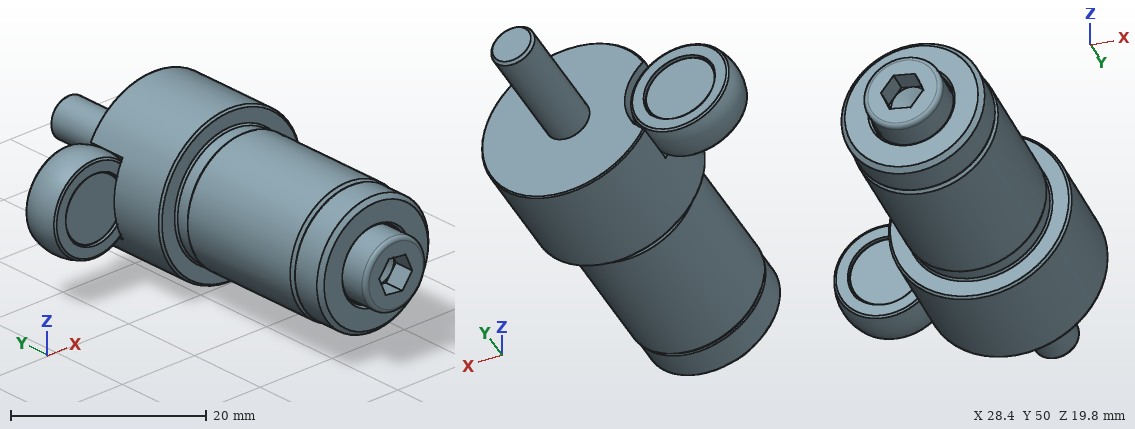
import cadquery as cq
import math


screw_length = 50
shank_radius = 2.5
screw_head_radius = 4.25
screw_head_height = 5
screw_head_fillet = 0.5
screw_tip_chamfer = 0.3
hex_across_flats = 4
hex_depth = 2.5
hex_turn = 6.5
drill_point_angle = 118

cap_front_y = 3
cap_length = 4
cap_radius = 7.75
cap_face_radius = 7.2
cap_front_chamfer = 0.5
cap_rear_chamfer = 0.15
counterbore_radius = 4.45
counterbore_chamfer = 0.25
cap_rear_y = cap_front_y + cap_length

housing_front_y = cap_rear_y
barrel_radius = 7.9
barrel_chamfer = 0.4
groove_radius = 7.7
groove_taper = 0.25
groove_length = 2
flange_front_y = 25
flange_length = 12
flange_radius = 9.9
flange_front_chamfer = 0.25
flange_rear_chamfer = 0.15
flange_rear_y = flange_front_y + flange_length

roller_offset = 12.5
roller_radius = 6
roller_width = 4.5
roller_edge_radial = 0.25
roller_edge_axial = 0.15
roller_rear_setback = 0.5
pocket_radius = roller_radius
hub_radius = 4.1
hub_chamfer = 0.2
hub_recess = 0.25
roller_rear_y = flange_rear_y - roller_rear_setback
roller_front_y = roller_rear_y - roller_width


def turned(outline):
    """Revolve a closed outline of (radius, y) about the Y axis."""
    return outline.close().revolve(360, (0, 0, 0), (0, 1, 0))


def cylinder(radius, y_start, y_end):
    """Cylinder on the Y axis between two Y positions."""
    start_plane = cq.Workplane("XZ", origin=(0, y_start, 0))
    return start_plane.circle(radius).extrude(y_start - y_end)


def hex_socket():
    """Hexagon socket with a conical bottom, as a cutting shape."""
    corner_diameter = hex_across_flats / math.cos(math.pi / 6)
    prism = cq.Workplane("XZ").polygon(6, corner_diameter).extrude(-hex_depth)
    prism = prism.rotate((0, 0, 0), (0, 1, 0), hex_turn)
    cone_radius = hex_across_flats / 2
    cone_height = cone_radius / math.tan(math.radians(drill_point_angle / 2))
    cone = turned(
        cq.Workplane("XY")
        .moveTo(0, hex_depth)
        .lineTo(cone_radius, hex_depth)
        .lineTo(0, hex_depth + cone_height)
    )
    return prism.union(cone)


def make_screw():
    head = cylinder(screw_head_radius, 0, screw_head_height).faces("<Y").edges().fillet(screw_head_fillet)
    shank = cylinder(shank_radius, screw_head_height, screw_length).faces(">Y").chamfer(screw_tip_chamfer)
    return head.union(shank).cut(hex_socket())


def make_cap():
    body = turned(
        cq.Workplane("XY")
        .moveTo(0, cap_front_y)
        .lineTo(cap_face_radius, cap_front_y)
        .lineTo(cap_radius, cap_front_y + cap_front_chamfer)
        .lineTo(cap_radius, cap_rear_y - cap_rear_chamfer)
        .lineTo(cap_radius - cap_rear_chamfer, cap_rear_y)
        .lineTo(0, cap_rear_y)
    )
    counterbore = turned(
        cq.Workplane("XY")
        .moveTo(0, cap_front_y)
        .lineTo(counterbore_radius + counterbore_chamfer, cap_front_y)
        .lineTo(counterbore_radius, cap_front_y + counterbore_chamfer)
        .lineTo(counterbore_radius, screw_head_height)
        .lineTo(0, screw_head_height)
    )
    return body.cut(counterbore).cut(cylinder(shank_radius, cap_front_y, cap_rear_y))


def make_housing():
    groove_front_y = flange_front_y - groove_length
    body = turned(
        cq.Workplane("XY")
        .moveTo(0, housing_front_y)
        .lineTo(barrel_radius - barrel_chamfer, housing_front_y)
        .lineTo(barrel_radius, housing_front_y + barrel_chamfer)
        .lineTo(barrel_radius, groove_front_y)
        .lineTo(groove_radius, groove_front_y + groove_taper)
        .lineTo(groove_radius, flange_front_y - groove_taper)
        .lineTo(barrel_radius, flange_front_y)
        .lineTo(flange_radius - flange_front_chamfer, flange_front_y)
        .lineTo(flange_radius, flange_front_y + flange_front_chamfer)
        .lineTo(flange_radius, flange_rear_y - flange_rear_chamfer)
        .lineTo(flange_radius - flange_rear_chamfer, flange_rear_y)
        .lineTo(0, flange_rear_y)
    )
    screw_hole = cylinder(shank_radius, housing_front_y, flange_rear_y)
    roller_pocket = cylinder(pocket_radius, roller_front_y, flange_rear_y).translate((-roller_offset, 0, 0))
    return body.cut(screw_hole).cut(roller_pocket)


def make_roller():
    middle_y = (roller_front_y + roller_rear_y) / 2
    crown_half_width = roller_width / 2 - roller_edge_axial
    rim_radius = math.sqrt(roller_radius ** 2 - crown_half_width ** 2)
    face_radius = rim_radius - roller_edge_radial
    roller = turned(
        cq.Workplane("XY")
        .moveTo(hub_radius, roller_front_y)
        .lineTo(face_radius, roller_front_y)
        .lineTo(rim_radius, roller_front_y + roller_edge_axial)
        .threePointArc((roller_radius, middle_y), (rim_radius, roller_rear_y - roller_edge_axial))
        .lineTo(face_radius, roller_rear_y)
        .lineTo(hub_radius, roller_rear_y)
    )
    return roller.translate((-roller_offset, 0, 0))


def make_hub():
    disc = cylinder(hub_radius, roller_front_y + hub_recess, roller_rear_y - hub_recess)
    hub = disc.faces("<Y or >Y").chamfer(hub_chamfer)
    return hub.translate((-roller_offset, 0, 0))


screw = make_screw()
cap = make_cap()
housing = make_housing()
roller = make_roller()
hub = make_hub()

result = cq.Compound.makeCompound([screw.val(), cap.val(), housing.val(), roller.val(), hub.val()])